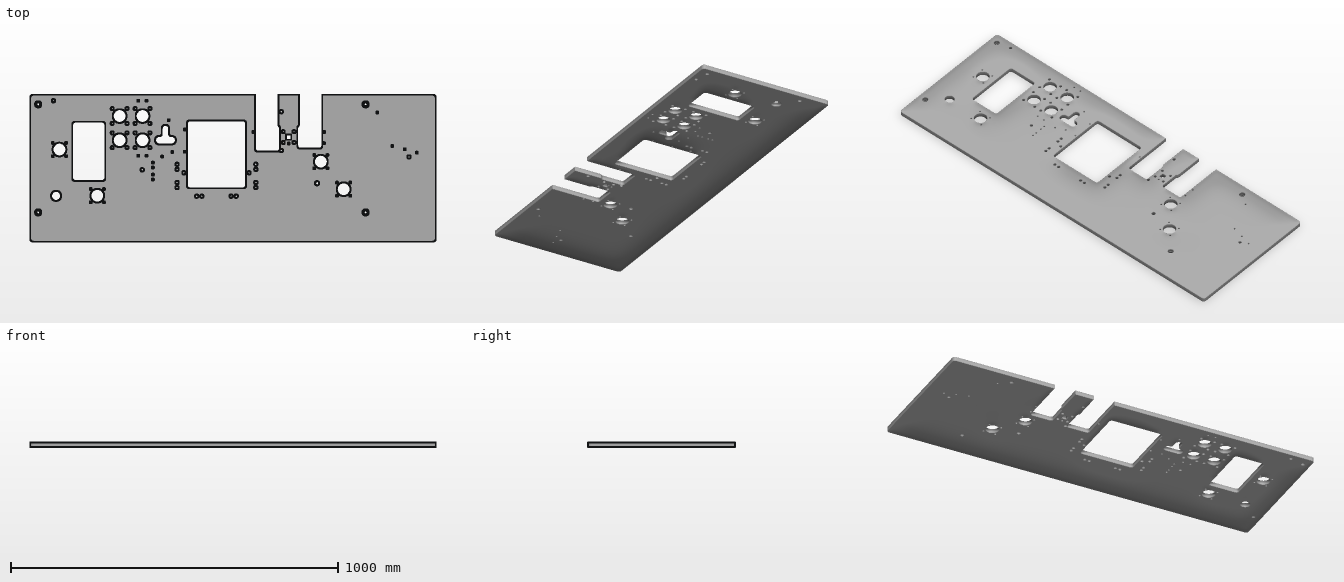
import cadquery as cq
PLATE_LENGTH = 1240.0
PLATE_WIDTH = 450.0
PLATE_THICKNESS = 15.0
PLATE_CORNER_RADIUS = 10.0

EDGE_CHAMFER = 1.0

MOUNT_CENTER = (525.0, 255.0)
MOUNT_SPACING = (1000.0, 330.0)
MOUNT_DIAMETER = 11.0
MOUNT_BORE_DIAMETER = 18.0
MOUNT_BORE_DEPTH = 9.0

WINDOW_CORNER_RADIUS = 8.0
SMALL_WINDOW_CENTER = (179.4, 276.3)
SMALL_WINDOW_SIZE = (100.0, 180.0)
LARGE_WINDOW_CENTER = (569.5, 267.2)
LARGE_WINDOW_SIZE = (180.0, 206.0)

SOCKET_DIAMETER = 41.0
SOCKET_GRID_CENTER = (308.7, 347.3)
SOCKET_GRID_SPACING = (70.0, 74.0)
GRID_SCREW_SPACING = 45.3
GRID_SCREW_DIAMETER = 8.5
FREE_SOCKETS = [(90.0, 282.0), (205.5, 141.0), (888.3, 245.0), (958.0, 160.8)]
FREE_SCREW_SPACING = 40.5
FREE_SCREW_DIAMETER = 5.0
CABLE_HOLE_CENTER = (79.7, 140.5)
CABLE_HOLE_DIAMETER = 30.0

T_CENTER = (413.7, 310.5)
T_BAR_LENGTH = 63.0
T_BAR_WIDTH = 25.0
T_STEM_WIDTH = 21.5
T_STEM_TOP = 357.0
T_INNER_RADIUS = 6.0

TONGUE_X = 790.0
NOTCH_OUTER_SPAN = 204.5
TONGUE_WIDTH = 64.0
NECK_WIDTH = 54.0
NECK_TOP = 350.0
TONGUE_SHOULDER = 357.0
LEFT_NOTCH_FLOOR = 276.0
RIGHT_NOTCH_FLOOR = 285.2
NOTCH_CORNER_RADIUS = 8.0

KEY_CENTER = (TONGUE_X, 320.0)
KEY_SIZE = 15.0
KEY_SCREW_SPACING = 33.0
KEY_SCREW_DIAMETER = 8.5

BOLT_DIAMETER = 9.3
BOLT_PAIR_PITCH = 15.5
SIDE_PAIR_SPAN = 240.5
SIDE_PAIR_HEIGHTS = (173.5, 229.2)
FRONT_PAIR_SPAN = 105.0
FRONT_PAIR_Y = 139.5
WINDOW_BOLT_SPAN = 199.0
WINDOW_BOLT_Y = 211.0

SINGLE_BOLTS = [
    (71.5, 431.0),
    (342.7, 220.0),
    (767.5, 397.5),
    (767.5, 278.8),
    (1157.7, 259.5),
]
LARGE_BOLT_CENTER = (876.7, 179.0)
LARGE_BOLT_DIAMETER = 12.0
PIN_DIAMETER = 5.0
PINS = [
    (330.7, 431.0),
    (355.7, 431.0),
    (330.7, 263.0),
    (355.7, 263.0),
    (423.7, 371.5),
    (434.2, 274.5),
    (403.4, 260.5),
    (375.3, 242.0),
    (375.3, 227.0),
    (375.3, 205.5),
    (375.3, 190.5),
    (472.7, 343.0),
    (472.7, 275.0),
    (682.0, 335.5),
    (898.0, 335.5),
    (898.0, 301.5),
    (TONGUE_X, 300.5),
    (1060.5, 395.0),
    (1106.3, 293.0),
    (1144.7, 283.0),
    (1181.5, 272.5),
]


def grid(center, x_spacing, y_spacing):
    """Four points at the corners of a rectangle."""
    x, y = center
    return [
        (x + i * x_spacing / 2, y + j * y_spacing / 2)
        for i in (-1, 1)
        for j in (-1, 1)
    ]


def revolved_cutters(points, profile):
    """Copies of one turned cutter; the profile lists (radius, height) pairs."""
    cutter = cq.Workplane("XZ").polyline(profile).close().revolve(360, (0, 0), (0, 1)).val()
    return cq.Workplane("XY").pushPoints(points).eachpoint(cutter.moved)


def bores(points, diameter, depth):
    """Cutters for flat-bottomed bores in the top face, flared by the edge chamfer at their mouth."""
    radius = diameter / 2
    profile = [
        (0, PLATE_THICKNESS - depth),
        (radius, PLATE_THICKNESS - depth),
        (radius, PLATE_THICKNESS - EDGE_CHAMFER),
        (radius + EDGE_CHAMFER, PLATE_THICKNESS),
        (0, PLATE_THICKNESS),
    ]
    return revolved_cutters(points, profile)


def holes(points, diameter):
    """Cutters for through holes of one diameter, flared by the edge chamfer at both faces."""
    radius = diameter / 2
    flare = radius + EDGE_CHAMFER
    profile = [
        (0, 0),
        (flare, 0),
        (radius, EDGE_CHAMFER),
        (radius, PLATE_THICKNESS - EDGE_CHAMFER),
        (flare, PLATE_THICKNESS),
        (0, PLATE_THICKNESS),
    ]
    return revolved_cutters(points, profile)


def box(center, size, radius):
    """Rectangular through-thickness cutter with rounded corners."""
    block = cq.Workplane("XY").center(*center).rect(*size).extrude(PLATE_THICKNESS)
    return block.edges("|Z").fillet(radius)


def make_blank():
    blank = cq.Workplane("XY").rect(PLATE_LENGTH, PLATE_WIDTH, centered=False).extrude(PLATE_THICKNESS)
    return blank.edges("|Z").fillet(PLATE_CORNER_RADIUS)


def notch(side, floor):
    """Open notch beside the tongue; side is -1 for left and +1 for right."""
    outer = TONGUE_X + side * NOTCH_OUTER_SPAN / 2
    tongue = TONGUE_X + side * TONGUE_WIDTH / 2
    neck = TONGUE_X + side * NECK_WIDTH / 2
    outline = [
        (outer, PLATE_WIDTH),
        (outer, floor),
        (neck, floor),
        (neck, NECK_TOP),
        (tongue, TONGUE_SHOULDER),
        (tongue, PLATE_WIDTH),
    ]
    cutter = cq.Workplane("XY").polyline(outline).close().extrude(PLATE_THICKNESS)
    return cutter.edges("|Z and <Y").fillet(NOTCH_CORNER_RADIUS)


def t_opening():
    x, y = T_CENTER
    stem_length = T_STEM_TOP - y + T_STEM_WIDTH / 2
    stem_y = T_STEM_TOP - stem_length / 2
    bar = cq.Workplane("XY").center(x, y).slot2D(T_BAR_LENGTH, T_BAR_WIDTH).extrude(PLATE_THICKNESS)
    stem = cq.Workplane("XY").center(x, stem_y).slot2D(stem_length, T_STEM_WIDTH, 90)
    opening = bar.union(stem.extrude(PLATE_THICKNESS))
    inner_corners = cq.selectors.BoxSelector(
        (x - T_STEM_WIDTH, y + T_BAR_WIDTH / 4, 0),
        (x + T_STEM_WIDTH, y + T_BAR_WIDTH, PLATE_THICKNESS),
    )
    return opening.edges("|Z").edges(inner_corners).fillet(T_INNER_RADIUS)


def cut_sockets(plate):
    grid_sockets = grid(SOCKET_GRID_CENTER, *SOCKET_GRID_SPACING)
    plate = plate.cut(holes(grid_sockets + FREE_SOCKETS, SOCKET_DIAMETER))
    for center in grid_sockets:
        screws = grid(center, GRID_SCREW_SPACING, GRID_SCREW_SPACING)
        plate = plate.cut(holes(screws, GRID_SCREW_DIAMETER))
    for center in FREE_SOCKETS:
        screws = grid(center, FREE_SCREW_SPACING, FREE_SCREW_SPACING)
        plate = plate.cut(holes(screws, FREE_SCREW_DIAMETER))
    return plate


def cut_mounts(plate):
    points = grid(MOUNT_CENTER, *MOUNT_SPACING)
    plate = plate.cut(holes(points, MOUNT_DIAMETER))
    return plate.cut(bores(points, MOUNT_BORE_DIAMETER, MOUNT_BORE_DEPTH))


def cut_key_screws(plate):
    screws = grid(KEY_CENTER, KEY_SCREW_SPACING, KEY_SCREW_SPACING)
    return plate.cut(holes(screws, KEY_SCREW_DIAMETER))


def window_bolts():
    """Bolt holes placed symmetrically about the large window."""
    x = LARGE_WINDOW_CENTER[0]
    points = [(x + side * WINDOW_BOLT_SPAN / 2, WINDOW_BOLT_Y) for side in (-1, 1)]
    for y in SIDE_PAIR_HEIGHTS:
        points += grid((x, y), SIDE_PAIR_SPAN, BOLT_PAIR_PITCH)
    for side in (-1, 1):
        pair_x = x + side * FRONT_PAIR_SPAN / 2
        points += [(pair_x + end * BOLT_PAIR_PITCH / 2, FRONT_PAIR_Y) for end in (-1, 1)]
    return points


def make_plate():
    plate = make_blank()
    plate = plate.cut(notch(-1, LEFT_NOTCH_FLOOR))
    plate = plate.cut(notch(1, RIGHT_NOTCH_FLOOR))
    plate = plate.cut(box(SMALL_WINDOW_CENTER, SMALL_WINDOW_SIZE, WINDOW_CORNER_RADIUS))
    plate = plate.cut(box(LARGE_WINDOW_CENTER, LARGE_WINDOW_SIZE, WINDOW_CORNER_RADIUS))
    plate = plate.cut(t_opening())
    plate = plate.cut(cq.Workplane("XY").center(*KEY_CENTER).rect(KEY_SIZE, KEY_SIZE).extrude(PLATE_THICKNESS))
    plate = plate.faces("<Z or >Z").edges().chamfer(EDGE_CHAMFER)
    plate = cut_sockets(plate)
    plate = cut_mounts(plate)
    plate = cut_key_screws(plate)
    plate = plate.cut(holes([CABLE_HOLE_CENTER], CABLE_HOLE_DIAMETER))
    plate = plate.cut(holes([LARGE_BOLT_CENTER], LARGE_BOLT_DIAMETER))
    plate = plate.cut(holes(SINGLE_BOLTS + window_bolts(), BOLT_DIAMETER))
    return plate.cut(holes(PINS, PIN_DIAMETER))


result = make_plate()